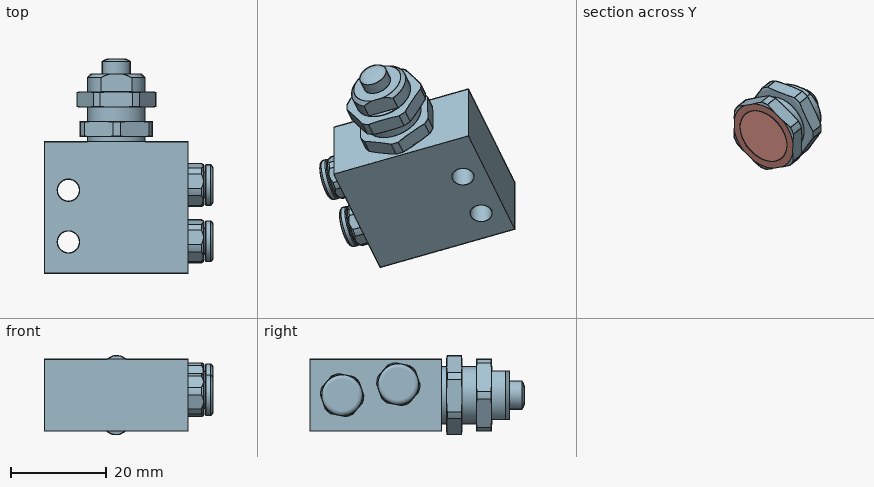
import cadquery as cq
import math


OVERALL_LENGTH = 44.8
BLOCK_X = 30.0
BLOCK_Y = 27.5
BLOCK_Z = 15.0

HOLE_DIAMETER = 4.55
HOLE_FROM_SIDE = 5.0
HOLE_SPACING = 10.8
HOLE_FROM_END = 6.6

NECK_DIAMETER = 12.05
NECK_LENGTH = 10.5
HEAD_END = 14.15
HEAD_CHAMFER = 0.8
HEAD_ACROSS_FLATS = 10.15
PLUNGER_DIAMETER = 5.9
PLUNGER_END = OVERALL_LENGTH - BLOCK_Y
PLUNGER_TIP_DIAMETER = 2.7
PLUNGER_ROUND_LENGTH = 0.6

NUT_ACROSS_FLATS = 15.0
NUT_DIAMETER = 16.5
NUT_THICKNESS = 3.2
NUT_CHAMFER_WIDTH = 0.63
NUT_CHAMFER_DEPTH = 0.15
LOCK_NUT_START = 1.05
LOCK_NUT_TURN = 30.8
PANEL_NUT_START = 7.2
PANEL_NUT_TURN = 0

FITTING_ACROSS_FLATS = 8.5
FITTING_DIAMETER = 9.05
FITTING_HEX_LENGTH = 3.2
FITTING_CHAMFER_WIDTH = 0.25
FITTING_CHAMFER_LENGTH = 0.45
FITTING_TURN = 19
FITTING_NECK_DIAMETER = 5.5
RING_START = 3.55
RING_END = 5.2
RING_DIAMETER = 8.5
RING_INNER_CHAMFER = 0.22
RING_ROUND_LENGTH = 0.6
RING_ROUND_WIDTH = 0.9
FITTING_PLACES = [(-9.05, 2.3), (-20.8, 0)]


def hexagon(across_flats, length):
    """Hexagonal bar along +Z, from Z = 0, with two flats facing +Y and -Y."""
    return cq.Workplane("XY").polygon(6, across_flats / math.cos(math.pi / 6)).extrude(length)


def along_y(shape, turn):
    """Turn a shape about its own Z axis, then lay that axis along +Y."""
    return shape.rotate((0, 0, 0), (0, 0, 1), turn).rotate((0, 0, 0), (1, 0, 0), -90)


def tangent_arc_radius(run, rise):
    """Radius of an arc that spans the given run and rise and is tangent to the run at one end."""
    return (run**2 + rise**2) / (2 * rise)


def make_block():
    """Block with its mounting holes, threaded neck, wrench head and plunger."""
    block = cq.Workplane("XY").box(BLOCK_X, BLOCK_Y, BLOCK_Z).translate((0, -BLOCK_Y / 2, 0))
    hole_x = HOLE_FROM_SIDE - BLOCK_X / 2
    first_hole_y = HOLE_FROM_END - BLOCK_Y
    holes = (
        cq.Workplane("XY", origin=(0, 0, -BLOCK_Z / 2))
        .pushPoints([(hole_x, first_hole_y), (hole_x, first_hole_y + HOLE_SPACING)])
        .circle(HOLE_DIAMETER / 2)
        .extrude(BLOCK_Z)
    )
    return block.cut(holes).union(make_neck()).union(make_head()).union(make_plunger())


def make_neck():
    """Round neck that carries the two nuts."""
    return along_y(cq.Workplane("XY").circle(NECK_DIAMETER / 2).extrude(NECK_LENGTH), 0)


def make_head():
    """Chamfered round head with two wrench flats facing +Z and -Z."""
    length = HEAD_END - NECK_LENGTH
    head = cq.Workplane("XY").circle(NECK_DIAMETER / 2).extrude(length).faces(">Z").chamfer(HEAD_CHAMFER)
    flats = cq.Workplane("XY").rect(NECK_DIAMETER, HEAD_ACROSS_FLATS).extrude(length)
    return along_y(head.intersect(flats), 0).translate((0, NECK_LENGTH, 0))


def make_plunger():
    """Round plunger whose rounded rim runs smoothly into a flat tip."""
    radius = PLUNGER_DIAMETER / 2
    tip_radius = PLUNGER_TIP_DIAMETER / 2
    rim = PLUNGER_END - PLUNGER_ROUND_LENGTH
    rounding_radius = tangent_arc_radius(radius - tip_radius, PLUNGER_ROUND_LENGTH)
    return (
        cq.Workplane("XY")
        .moveTo(0, HEAD_END)
        .lineTo(radius, HEAD_END)
        .lineTo(radius, rim)
        .radiusArc((tip_radius, PLUNGER_END), -rounding_radius)
        .lineTo(0, PLUNGER_END)
        .close()
        .revolve(360, (0, 0, 0), (0, 1, 0))
    )


def make_nut(start, turn):
    """Hexagon nut with rounded corners, conical chamfers on both faces and a bore for the neck."""
    radius = NUT_DIAMETER / 2
    face_radius = radius - NUT_CHAMFER_WIDTH
    chamfered_disc = (
        cq.Workplane("XZ")
        .moveTo(NECK_DIAMETER / 2, 0)
        .lineTo(face_radius, 0)
        .lineTo(radius, NUT_CHAMFER_DEPTH)
        .lineTo(radius, NUT_THICKNESS - NUT_CHAMFER_DEPTH)
        .lineTo(face_radius, NUT_THICKNESS)
        .lineTo(NECK_DIAMETER / 2, NUT_THICKNESS)
        .close()
        .revolve(360, (0, 0, 0), (0, 1, 0))
    )
    nut = hexagon(NUT_ACROSS_FLATS, NUT_THICKNESS).intersect(chamfered_disc)
    return along_y(nut, turn).translate((0, start, 0))


def make_fitting(y, z):
    """Tube fitting: hexagon with rounded, chamfered corners, a thin neck and a release ring."""
    radius = FITTING_DIAMETER / 2
    chamfered_disc = (
        cq.Workplane("XZ")
        .lineTo(radius, 0)
        .lineTo(radius, FITTING_HEX_LENGTH - FITTING_CHAMFER_LENGTH)
        .lineTo(radius - FITTING_CHAMFER_WIDTH, FITTING_HEX_LENGTH)
        .lineTo(0, FITTING_HEX_LENGTH)
        .close()
        .revolve(360, (0, 0, 0), (0, 1, 0))
    )
    ring_radius = RING_DIAMETER / 2
    rounding_start = RING_END - RING_ROUND_LENGTH
    rounding_radius = tangent_arc_radius(RING_ROUND_WIDTH, RING_ROUND_LENGTH)
    neck_and_ring = (
        cq.Workplane("XZ")
        .moveTo(0, FITTING_HEX_LENGTH)
        .lineTo(FITTING_NECK_DIAMETER / 2, FITTING_HEX_LENGTH)
        .lineTo(FITTING_NECK_DIAMETER / 2, RING_START)
        .lineTo(ring_radius - RING_INNER_CHAMFER, RING_START)
        .lineTo(ring_radius, RING_START + RING_INNER_CHAMFER)
        .lineTo(ring_radius, rounding_start)
        .radiusArc((ring_radius - RING_ROUND_WIDTH, RING_END), -rounding_radius)
        .lineTo(0, RING_END)
        .close()
        .revolve(360, (0, 0, 0), (0, 1, 0))
    )
    fitting = hexagon(FITTING_ACROSS_FLATS, FITTING_HEX_LENGTH).intersect(chamfered_disc).union(neck_and_ring)
    return (
        fitting.rotate((0, 0, 0), (0, 0, 1), FITTING_TURN)
        .rotate((0, 0, 0), (0, 1, 0), 90)
        .translate((BLOCK_X / 2, y, z))
    )


block = make_block()
lock_nut = make_nut(LOCK_NUT_START, LOCK_NUT_TURN)
panel_nut = make_nut(PANEL_NUT_START, PANEL_NUT_TURN)
fittings = [make_fitting(y, z) for y, z in FITTING_PLACES]

result = cq.Compound.makeCompound(
    [block.val(), lock_nut.val(), panel_nut.val(), *[fitting.val() for fitting in fittings]]
)